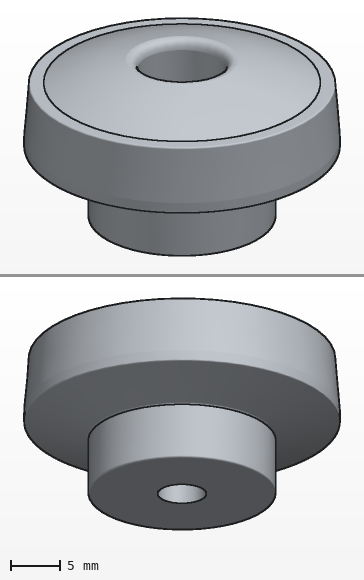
import cadquery as cq
import math

outer_radius = 16.0
total_height = 17.55
edge_round = 0.2

hub_radius = 9.5
hub_height = 5.95

rim_bottom_z = 7.9
band_top_z = 9.02
rim_top_z = 14.98
rim_top_radius = 15.52

bore_radius = 9.0 / 2
bore_floor_z = 11.05
mouth_round = 1.02
hole_radius = 4.93 / 2
hole_chamfer = 0.5

dome_radius = 33.92
dome_center_z = (
    total_height
    - mouth_round
    - math.sqrt((dome_radius - mouth_round) ** 2 - (bore_radius + mouth_round) ** 2)
)
sharp_mouth_z = dome_center_z + math.sqrt(dome_radius**2 - bore_radius**2)

match_tolerance = 0.003


def dome_point(angle):
    """Point on the crown's profile at an angle from the vertical axis."""
    return dome_radius * math.sin(angle), dome_center_z + dome_radius * math.cos(angle)


def make_body():
    """Revolve the wheel, hub and stepped bore about the Z axis, with sharp edges."""
    rim_angle = math.acos((rim_top_z - dome_center_z) / dome_radius)
    mouth_angle = math.asin(bore_radius / dome_radius)
    return (
        cq.Workplane("XZ")
        .moveTo(hole_radius, 0)
        .lineTo(hub_radius, 0)
        .lineTo(hub_radius, hub_height)
        .lineTo(outer_radius, rim_bottom_z)
        .lineTo(outer_radius, band_top_z)
        .lineTo(rim_top_radius, rim_top_z)
        .lineTo(*dome_point(rim_angle))
        .threePointArc(dome_point((rim_angle + mouth_angle) / 2), dome_point(mouth_angle))
        .lineTo(bore_radius, bore_floor_z)
        .lineTo(hole_radius + hole_chamfer, bore_floor_z)
        .lineTo(hole_radius, bore_floor_z - hole_chamfer)
        .close()
        .revolve(360, (0, 0, 0), (0, 1, 0))
    )


def round_edge(body, edge_radius, edge_z, round_radius):
    """Round the closed circular edge that has the given radius and height."""

    def is_wanted(edge):
        return (
            edge.IsClosed()
            and abs(edge.radius() - edge_radius) < match_tolerance
            and abs(edge.Center().z - edge_z) < match_tolerance
        )

    return body.edges("%CIRCLE").filter(is_wanted).fillet(round_radius)


result = make_body()
for radius, z, size in [
    (hub_radius, 0, edge_round),
    (hub_radius, hub_height, edge_round),
    (outer_radius, rim_bottom_z, edge_round),
    (rim_top_radius, rim_top_z, edge_round),
    (bore_radius, sharp_mouth_z, mouth_round),
]:
    result = round_edge(result, radius, z, size)